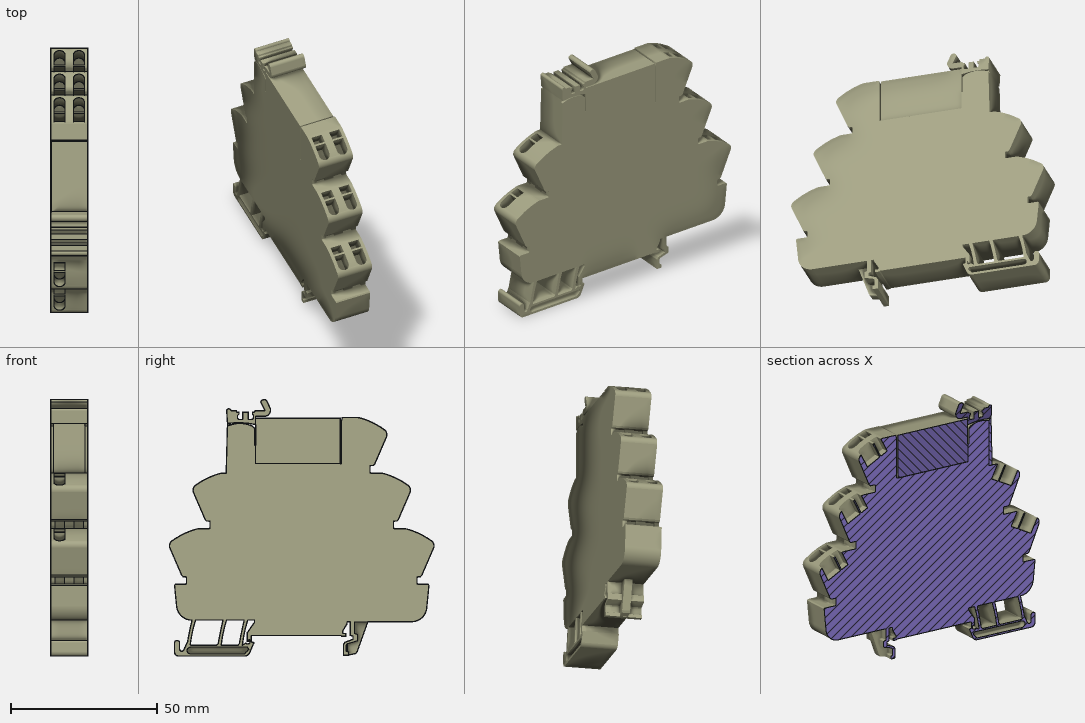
import cadquery as cq
import math

width = 12.8
half_length = 45.3

tier_step_in = 8.1
tier_step_up = 19.0
lowest_tier_top = 43.6
ridge_in = 10.0
ridge_strip = 0.6
ridge_strip_drop = 0.1
shoulder_in, shoulder_drop = 1.2, 4.0
slope_mid_in, slope_mid_drop = 4.1, 2.2
nose_drop = 6.0
cheek_in, cheek_drop = 0.1, 6.5
lip_in = 4.2
lip_chamfer = 0.5
slot_wall_in = 5.8
slot_height = 2.5
slot_fillet = 0.4

opening_width = 3.8
opening_edge = 1.2
opening_depth = 5.9
slope_angle = 27.0
wire_entry_drop = 1.45
wire_entry_in = 5.8
wire_entry_length = 5.6
release_slot_in = 8.9
release_slot_length = 2.8

opening_centers = (opening_edge + opening_width / 2, width - opening_edge - opening_width / 2)

bridge_width = 3.2
bridge_depth = 0.9
bridge_centers = (3.2, 9.6)

base_half_length = 43.5
latch_base_bottom = 11.8
foot_base_bottom = 12.3
base_edge_chamfer = 0.4
base_corner_out, base_corner_top = 42.8, 16.9
base_corner_mid_out, base_corner_mid_rise = 41.3, 1.5
base_corner_foot = 37.65
rail_face = 7.1

relay_start, relay_end = -15.75, 13.2
relay_bottom, relay_top = 65.9, 81.5
relay_side_inset = 0.4
relay_gap = 0.4
bay_mouth_chamfer = 0.45

column_gap = 0.4
column_front_top, column_front_bottom = -25.4, -25.9
column_shoulder = 72.2
column_end_height = 78.65
column_crown_height = 79.65
column_crown = -20.8
column_corner = 0.7

head_front_bottom = 79.6
head_crown = 79.8
head_back_bottom = 79.2
head_deck = 84.0
rib_top = 83.45
groove_floor = 81.0
lever_underside = 82.0

marker_side = 1.0
marker_depth = 1.4

foot_floor = 3.8
leg_starts = (-18.5, -25.7, -36.3)

side_recess = 5.0

tiers = ((1, 0), (1, 1), (1, 2), (-1, 0), (-1, 1))
upper_flat = lowest_tier_top + tier_step_up


def side_profile(start):
    """Sketch in the YZ plane, starting at a (Y, Z) point."""
    return cq.Workplane("YZ").moveTo(*start)


def side_block(points, thickness=width):
    """Prism over a polygon of (Y, Z) points, starting at X = 0."""
    return cq.Workplane("YZ").polyline(points).close().extrude(thickness)


def tier_top(level):
    return lowest_tier_top + level * tier_step_up


def tier_nose(level):
    return half_length - level * tier_step_in


def tier(side, level):
    """One terminal tier, from its flat top down to the flat of the tier below."""
    top = tier_top(level)
    nose = tier_nose(level)

    def at(inward, drop):
        return (side * (nose - inward), top - drop)

    lip_drop = tier_step_up - slot_height
    return (
        side_profile((0, top))
        .lineTo(*at(ridge_in, 0))
        .lineTo(*at(ridge_in - ridge_strip, ridge_strip_drop))
        .threePointArc(at(slope_mid_in, slope_mid_drop), at(shoulder_in, shoulder_drop))
        .threePointArc(at(0, nose_drop), at(cheek_in, cheek_drop))
        .lineTo(*at(lip_in, lip_drop - lip_chamfer))
        .lineTo(*at(lip_in + lip_chamfer, lip_drop))
        .lineTo(*at(slot_wall_in, lip_drop))
        .lineTo(*at(slot_wall_in, tier_step_up))
        .lineTo(0, top - tier_step_up)
        .close()
        .extrude(width)
    )


def base_half(side, bottom):
    """Lower half of the housing with a large rounded corner."""
    top = lowest_tier_top - tier_step_up
    return (
        side_profile((0, top))
        .lineTo(side * (base_half_length - base_edge_chamfer), top)
        .lineTo(side * base_half_length, top - base_edge_chamfer)
        .lineTo(side * base_corner_out, base_corner_top)
        .threePointArc(
            (side * base_corner_mid_out, bottom + base_corner_mid_rise),
            (side * base_corner_foot, bottom),
        )
        .lineTo(0, bottom)
        .close()
        .extrude(width)
    )


def rail_block():
    """Block between the two rail grips, with a hooked edge on each side."""
    return side_block([
        (15.5, latch_base_bottom + 0.9), (15.5, 11.0), (14.0, 8.6), (14.0, 7.8), (15.1, 7.8), (15.1, 6.8),
        (13.7, 6.8), (13.4, rail_face), (-17.2, rail_face), (-17.2, 5.6), (-18.1, 5.6), (-18.1, 5.0),
        (-18.6, 5.0), (-18.6, 8.1), (-16.2, 11.6), (-16.2, foot_base_bottom + 0.9),
    ])


def latch():
    """Springy rail latch: a bent arm backed by a thinner web."""
    arm = side_block([
        (18.1, latch_base_bottom + 0.9), (18.1, 7.8), (19.0, 7.4), (19.0, 5.25), (15.6, 4.25), (15.3, 3.8),
        (15.3, 1.7), (16.0, 1.45), (16.0, 0.3), (14.2, 0.3), (14.2, 4.0), (14.75, 4.8), (17.5, 5.8),
        (17.5, 6.9), (16.6, 7.15), (16.6, latch_base_bottom + 0.9),
    ])
    web = side_block([
        (22.6, latch_base_bottom + 0.9), (22.6, latch_base_bottom), (19.0, 1.6), (18.5, 0.9), (15.6, 0.3),
        (15.6, 4.25), (18.55, 5.2), (18.55, 7.6), (17.65, 7.8), (17.65, latch_base_bottom + 0.9),
    ], width - 2 * side_recess).translate((side_recess, 0, 0))
    return arm.union(web)


def foot():
    """Rail foot hung from three slanted legs, with a hooked end and a recess in each side."""
    sole = (
        side_profile((-16.3, 4.7))
        .lineTo(-17.8, 1.1)
        .threePointArc((-18.6, 0.3), (-19.55, 0))
        .lineTo(-41.9, 0)
        .threePointArc((-43.1, 0.45), (-43.5, 1.6))
        .lineTo(-43.5, 4.4)
        .threePointArc((-42.6, 5.4), (-41.7, 4.4))
        .lineTo(-41.7, 2.35)
        .threePointArc((-41.0, 1.7), (-40.3, 2.35))
        .lineTo(-39.2, 4.7)
        .lineTo(-37.8, foot_floor)
        .lineTo(-20.3, foot_floor)
        .lineTo(-19.2, 4.5)
        .threePointArc((-18.5, 4.25), (-17.7, 4.5))
        .lineTo(-17.7, 6.0)
        .lineTo(-17.2, 6.0)
        .lineTo(-17.2, 4.9)
        .close()
        .extrude(width)
    )
    recess = (
        side_profile((-18.55, 3.1))
        .lineTo(-38.0, 3.1)
        .threePointArc((-39.2, 1.9), (-38.0, 0.8))
        .lineTo(-19.55, 0.8)
        .lineTo(-18.1, 2.35)
        .close()
        .extrude(side_recess)
    )
    sole = sole.cut(recess).cut(recess.translate((width - side_recess, 0, 0)))
    for start in leg_starts:
        sole = sole.union(leg(start, foot_floor))
    return sole


def leg(start, floor):
    """Slanted, slightly curved leg from the base down to the floor of the foot."""
    ceiling = foot_base_bottom
    return (
        side_profile((start, ceiling + 0.9))
        .lineTo(start, ceiling)
        .threePointArc((start - 1.0, 8.6), (start - 1.8, floor))
        .lineTo(start - 1.8, floor - 0.45)
        .lineTo(start - 3.35, floor - 0.45)
        .lineTo(start - 3.35, floor)
        .lineTo(start - 2.9, floor + 0.5)
        .threePointArc((start - 2.1, 8.6), (start - 1.3, ceiling))
        .lineTo(start - 1.3, ceiling + 0.9)
        .close()
        .extrude(width)
    )


def column():
    """Column beside the relay that carries the ejector."""
    left = relay_start - column_gap
    height_share = (column_end_height - upper_flat) / (head_front_bottom - upper_flat)
    front_end = column_front_bottom + height_share * (column_front_top - column_front_bottom)
    return (
        side_profile((0, upper_flat))
        .lineTo(0, relay_bottom)
        .lineTo(relay_start, relay_bottom)
        .lineTo(relay_start, column_shoulder)
        .lineTo(left, column_shoulder)
        .lineTo(left, column_end_height - column_corner)
        .lineTo(left - column_corner, column_end_height)
        .threePointArc((column_crown, column_crown_height), (front_end, column_end_height))
        .lineTo(column_front_bottom, upper_flat)
        .close()
        .extrude(width)
    )


def opening(side, level, x_center):
    """Round-ended wire entry and rectangular release slot, both square to the sloping face."""
    tilt = math.radians(slope_angle)
    outward = (0, side * math.cos(tilt), -math.sin(tilt))
    normal = (0, side * math.sin(tilt), math.cos(tilt))
    face = cq.Workplane(cq.Plane(
        origin=(x_center, side * (tier_nose(level) - wire_entry_in), tier_top(level) - wire_entry_drop),
        xDir=outward, normal=normal))
    straight = wire_entry_length - opening_width / 2
    half = opening_width / 2
    wire_entry = (
        face.moveTo(0, -half)
        .lineTo(straight, -half)
        .threePointArc((wire_entry_length, 0), (straight, half))
        .lineTo(0, half)
        .close()
        .extrude(opening_depth, both=True)
    )
    slot_shift = (wire_entry_in - release_slot_in) / math.cos(tilt)
    release_slot = (
        face.center(slot_shift + release_slot_length / 2, 0)
        .rect(release_slot_length, opening_width)
        .extrude(opening_depth, both=True)
    )
    return wire_entry.union(release_slot)


def marker_plate():
    """Plate flush with the column front, reaching up to the ejector head."""
    back = column_front_bottom + marker_depth
    return side_block([
        (column_front_bottom, upper_flat), (column_front_top, head_front_bottom),
        (back, head_front_bottom), (back, upper_flat),
    ], width - 2 * marker_side).translate((marker_side, 0, 0))

def bridge_pockets(side, level):
    """Pockets behind the slot wall below one tier, as tall as the slot."""
    bottom = tier_top(level) - tier_step_up
    wall = side * (tier_nose(level) - slot_wall_in)
    return (
        cq.Workplane("XY", origin=(0, wall, bottom))
        .pushPoints([(x, 0) for x in bridge_centers])
        .rect(bridge_width, 2 * bridge_depth)
        .extrude(slot_height)
    )


def slot_corners(side, level):
    """Selector for the two inner corner edges of the slot below one tier."""
    bottom = tier_top(level) - tier_step_up
    wall = side * (tier_nose(level) - slot_wall_in)
    reach = 0.1
    return cq.selectors.BoxSelector(
        (-reach, wall - reach, bottom - reach),
        (width + reach, wall + reach, bottom + slot_height + reach),
    )


def make_housing():
    body = base_half(1, latch_base_bottom).union(base_half(-1, foot_base_bottom))
    for side, level in tiers:
        body = body.union(tier(side, level))
    body = body.union(column())
    for side, level in tiers:
        body = body.edges(slot_corners(side, level)).edges("|X").fillet(slot_fillet)
    for part in (rail_block(), latch(), foot()):
        body = body.union(part)
    bay_end = relay_end + relay_gap
    bay = side_block([
        (relay_start, relay_bottom), (bay_end, relay_bottom),
        (bay_end, relay_top - 2 * bay_mouth_chamfer),
        (bay_end + bay_mouth_chamfer, relay_top + 2 * bay_mouth_chamfer),
        (relay_start, relay_top + 2 * bay_mouth_chamfer),
    ])
    body = body.cut(bay)
    for side, level in tiers:
        body = body.cut(bridge_pockets(side, level))
        columns_used = opening_centers if side > 0 else opening_centers[:1]
        for x_center in columns_used:
            body = body.cut(opening(side, level, x_center))
    return body.cut(marker_plate())


def make_relay():
    return cq.Workplane("XY").box(
        width - relay_side_inset, relay_end - relay_start, relay_top - relay_bottom, centered=False
    ).translate((relay_side_inset, relay_start, relay_bottom))


def make_ejector():
    """Ejector: ribbed head with a rounded thumb lever reaching over the relay."""
    return (
        side_profile((relay_start, head_back_bottom))
        .lineTo(relay_start, lever_underside)
        .lineTo(-12.7, lever_underside)
        .threePointArc((-11.1, 82.8), (-10.7, 84.5))
        .lineTo(-11.8, 87.0)
        .threePointArc((-12.9, 87.8), (-14.0, 86.9))
        .lineTo(-12.6, head_deck)
        .lineTo(-16.0, head_deck)
        .lineTo(-16.2, rib_top)
        .lineTo(-16.9, rib_top)
        .lineTo(-16.9, 82.8)
        .lineTo(-16.6, 82.4)
        .lineTo(-16.6, 81.6)
        .threePointArc((-16.7, 81.2), (-17.2, groove_floor))
        .lineTo(-18.3, groove_floor)
        .lineTo(-18.3, rib_top)
        .lineTo(-20.2, rib_top)
        .lineTo(-20.2, groove_floor)
        .lineTo(-21.4, groove_floor)
        .threePointArc((-21.8, 81.2), (-21.9, 81.6))
        .lineTo(-21.9, 82.4)
        .lineTo(-21.45, 82.8)
        .lineTo(-21.45, rib_top)
        .lineTo(-22.2, rib_top)
        .lineTo(-22.4, head_deck)
        .lineTo(-24.2, head_deck)
        .threePointArc((-24.9, 84.6), (-25.7, head_deck))
        .lineTo(column_front_top, head_front_bottom)
        .threePointArc((column_crown, head_crown), (relay_start, head_back_bottom))
        .close()
        .extrude(width)
    )


housing = make_housing()
relay = make_relay()
ejector = make_ejector()
marker = marker_plate()

result = cq.Compound.makeCompound([housing.val(), relay.val(), ejector.val(), marker.val()])